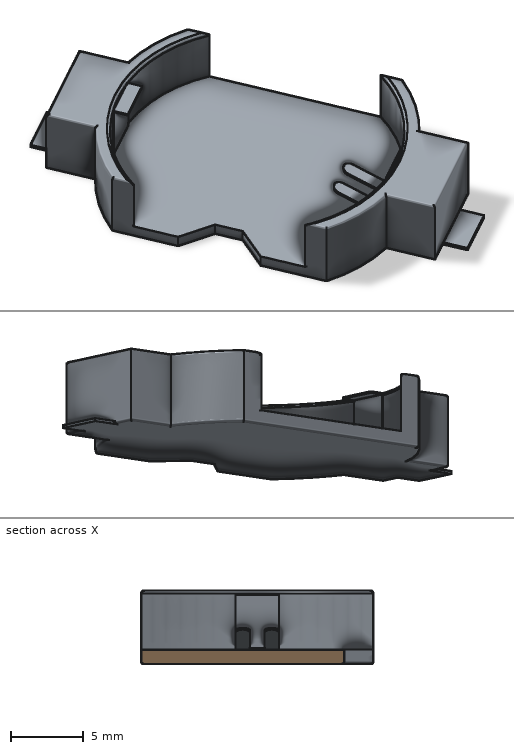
import cadquery as cq

height = 5.08
floor_thickness = 1.0
body_width = 16.0
outer_radius = 11.18
inner_radius = 10.14
block_span = 28.35
block_width = 7.0
edge_radius = 0.22

notch_mouth_width = 6.0
notch_bottom_width = 2.0
notch_depth = 2.0

terminal_thickness = 0.2
terminal_span = 31.86
terminal_width = 3.5
terminal_root = 1.0

sheet = 0.1
contact_width = 3.0
contact_face_x = 9.91
right_contact_top = 4.78
hook_top = 5.0
hook_reach = 1.0
hook_bend_radius = 0.08

finger_width = 1.0
finger_thickness = 0.12
finger_tip_x = 5.95
finger_tip_z = 2.5
finger_root_x = 9.71
finger_root_z = floor_thickness + finger_thickness
finger_offset = (contact_width - finger_width) / 2


def box_between(x_start, x_end, width, z_start, z_end):
    """Box spanning the given X and Z ranges, centred on Y = 0."""
    return (
        cq.Workplane("XY", origin=((x_start + x_end) / 2, 0, z_start))
        .rect(abs(x_end - x_start), width)
        .extrude(z_end - z_start)
    )


def make_notch():
    """Tapered cutter that opens towards the front edge of the floor."""
    mouth_y = -body_width / 2
    bottom_y = mouth_y + notch_depth
    return (
        cq.Workplane("XY")
        .moveTo(-notch_mouth_width / 2, mouth_y)
        .lineTo(-notch_bottom_width / 2, bottom_y)
        .lineTo(notch_bottom_width / 2, bottom_y)
        .lineTo(notch_mouth_width / 2, mouth_y)
        .close()
        .extrude(height)
    )


def make_body():
    """Round shell trimmed flat in Y, with end blocks, a coin pocket, a notch and rounded rims."""
    shell = cq.Workplane("XY").circle(outer_radius).extrude(height)
    trim = box_between(-outer_radius, outer_radius, body_width, 0, height)
    blocks = box_between(-block_span / 2, block_span / 2, block_width, 0, height)
    pocket = (
        cq.Workplane("XY", origin=(0, 0, floor_thickness))
        .circle(inner_radius)
        .extrude(height - floor_thickness)
    )
    body = shell.intersect(trim).union(blocks).cut(pocket).cut(make_notch())
    return body.faces(">Z or <Z").edges().fillet(edge_radius)


def make_terminal(side):
    """Flat solder tab leaving an end block; side is -1 for left and 1 for right."""
    return box_between(
        side * (block_span / 2 - terminal_root),
        side * terminal_span / 2,
        terminal_width,
        0,
        terminal_thickness,
    )


def make_upright(side, top):
    """Vertical contact sheet rising from the pocket floor beside the wall."""
    return box_between(
        side * contact_face_x,
        side * (contact_face_x + sheet),
        contact_width,
        floor_thickness,
        top,
    )


def make_left_contact():
    """Upright sheet whose top is bent inwards into a flat lip over the pocket."""
    lip = box_between(
        -contact_face_x - sheet,
        -contact_face_x + hook_reach,
        contact_width,
        hook_top - sheet,
        hook_top,
    )
    return make_upright(-1, hook_top).union(lip).edges("<X and >Z").fillet(hook_bend_radius)


def make_finger(y_center):
    """Round-ended spring finger rising from the foot towards the middle of the pocket."""
    profile = (
        cq.Workplane("XZ", origin=(0, y_center + finger_width / 2, 0))
        .moveTo(finger_tip_x, finger_tip_z)
        .lineTo(finger_root_x, finger_root_z)
        .lineTo(finger_root_x, floor_thickness)
        .lineTo(finger_tip_x, finger_tip_z - finger_thickness)
        .close()
        .extrude(finger_width)
    )
    tip_radius = finger_width / 2
    tip_center_x = finger_tip_x + tip_radius
    plan = (
        cq.Workplane("XY")
        .moveTo(finger_root_x, y_center - tip_radius)
        .lineTo(tip_center_x, y_center - tip_radius)
        .threePointArc((finger_tip_x, y_center), (tip_center_x, y_center + tip_radius))
        .lineTo(finger_root_x, y_center + tip_radius)
        .close()
        .extrude(height)
    )
    return profile.intersect(plan)


def make_right_contact():
    """Upright sheet with a foot on the floor that carries two spring fingers."""
    foot = box_between(
        finger_root_x,
        contact_face_x,
        contact_width,
        floor_thickness,
        finger_root_z,
    )
    contact = make_upright(1, right_contact_top).union(foot)
    for y_center in (-finger_offset, finger_offset):
        contact = contact.union(make_finger(y_center))
    return contact


result = make_body()
for terminal_side in (-1, 1):
    result = result.union(make_terminal(terminal_side))
result = result.union(make_left_contact()).union(make_right_contact())